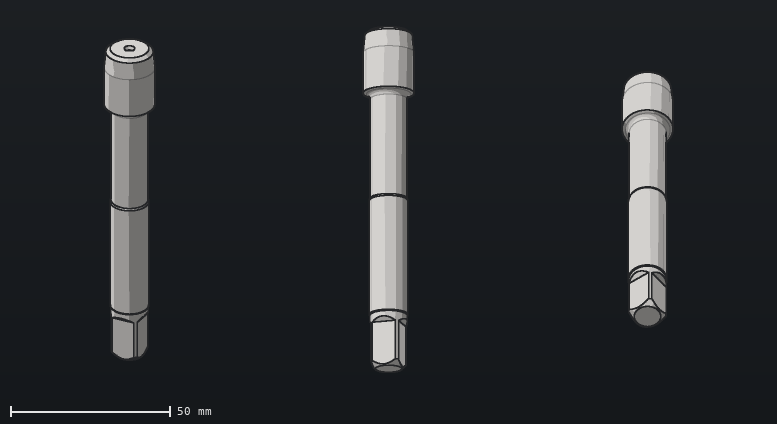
import cadquery as cq
import math

total_length = 110.0
square_top = 14.3
collar_top = 17.4
shank_bottom = 17.7
shank_top = 55.5
shank_chamfer = 0.7
head_bottom = 90.0
neck_fillet_radius = 1.6
shoulder_angle = 15.0
taper_bottom = 103.3
tip_chamfer_height = 1.1

collar_diameter = 11.9
shank_diameter = 12.2
neck_diameter = 11.7
head_diameter = 16.1
taper_tip_diameter = 15.0
tip_diameter = 12.2

square_width = 9.1
drive_end_chamfer = 1.8

center_hole_diameter = 2.0
countersink_diameter = 3.3
center_hole_depth = 3.3
countersink_angle = 60.0
drill_point_angle = 120.0


def revolve_profile(profile):
    return profile.close().revolve(360, (0, 0, 0), (0, 1, 0))


def make_body():
    """Revolved tool blank: collar, shank, neck and tapered head."""
    collar_radius = collar_diameter / 2
    shank_radius = shank_diameter / 2
    neck_radius = neck_diameter / 2
    head_radius = head_diameter / 2
    slope = math.radians(shoulder_angle)
    arc_end_turn = math.pi / 2 - slope
    arc_middle_turn = arc_end_turn / 2
    fillet_end_radius = neck_radius + neck_fillet_radius * (1 - math.cos(arc_end_turn))
    fillet_top = head_bottom - (head_radius - fillet_end_radius) * math.tan(slope)
    fillet_bottom = fillet_top - neck_fillet_radius * math.sin(arc_end_turn)
    fillet_middle = (
        neck_radius + neck_fillet_radius * (1 - math.cos(arc_middle_turn)),
        fillet_bottom + neck_fillet_radius * math.sin(arc_middle_turn),
    )
    profile = (
        cq.Workplane("XZ")
        .lineTo(collar_radius - drive_end_chamfer, 0)
        .lineTo(collar_radius, drive_end_chamfer)
        .lineTo(collar_radius, collar_top)
        .lineTo(shank_radius, shank_bottom)
        .lineTo(shank_radius, shank_top - shank_chamfer)
        .lineTo(neck_radius, shank_top)
        .lineTo(neck_radius, fillet_bottom)
        .threePointArc(fillet_middle, (fillet_end_radius, fillet_top))
        .lineTo(head_radius, head_bottom)
        .lineTo(head_radius, taper_bottom)
        .lineTo(taper_tip_diameter / 2, total_length - tip_chamfer_height)
        .lineTo(tip_diameter / 2, total_length)
        .lineTo(0, total_length)
    )
    return revolve_profile(profile)


def make_flat_cutter():
    """Cutter for one drive flat, with a 45 degree runout into the collar."""
    flat_offset = square_width / 2
    cutter_reach = shank_diameter
    runout = cutter_reach - flat_offset
    return (
        cq.Workplane("XZ")
        .moveTo(flat_offset, 0)
        .lineTo(cutter_reach, 0)
        .lineTo(cutter_reach, square_top + runout)
        .lineTo(flat_offset, square_top)
        .close()
        .extrude(shank_diameter / 2, both=True)
    )


def make_center_hole():
    """Countersunk drilled hole with a conical bottom."""
    hole_radius = center_hole_diameter / 2
    sink_radius = countersink_diameter / 2
    sink_depth = (sink_radius - hole_radius) / math.tan(math.radians(countersink_angle / 2))
    point_depth = hole_radius / math.tan(math.radians(drill_point_angle / 2))
    hole_bottom = total_length - center_hole_depth
    profile = (
        cq.Workplane("XZ")
        .moveTo(0, total_length)
        .lineTo(sink_radius, total_length)
        .lineTo(hole_radius, total_length - sink_depth)
        .lineTo(hole_radius, hole_bottom)
        .lineTo(0, hole_bottom - point_depth)
    )
    return revolve_profile(profile)


result = make_body().cut(make_center_hole())

flat_count = 4
flat_cutter = make_flat_cutter()
for index in range(flat_count):
    angle = index * 360 / flat_count
    result = result.cut(flat_cutter.rotate((0, 0, 0), (0, 0, 1), angle))